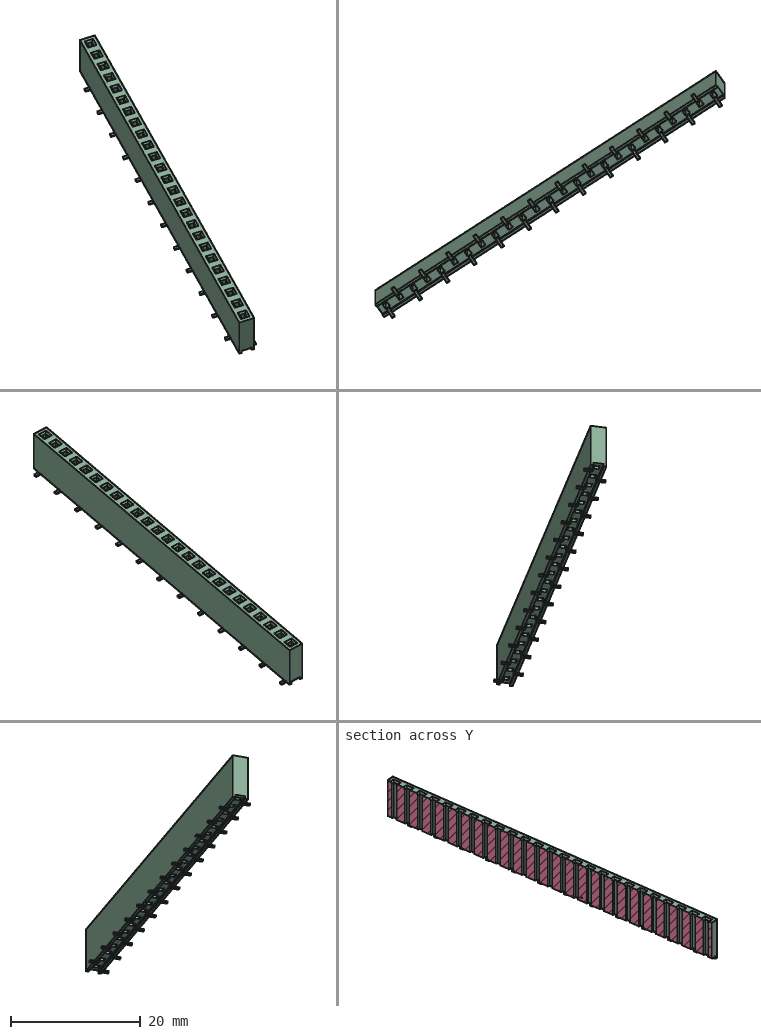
import cadquery as cq

TOTAL_WIDTH = 4.0
TOTAL_HEIGHT = 7.5

PITCH = 2.54
POSITIONS = 25
HOUSING_LENGTH = PITCH * POSITIONS
HOUSING_WIDTH = 2.5
STANDOFF = 0.3
HOUSING_HEIGHT = TOTAL_HEIGHT - STANDOFF

CHANNEL_WIDTH = 1.6
CHANNEL_DEPTH = 0.45
CHANNEL_CEILING = STANDOFF + CHANNEL_DEPTH

SOCKET_SIZE = 0.8
MOUTH_SIZE = 1.4
MOUTH_DEPTH = 0.3

TAIL_WIDTH = 0.5
TAIL_THICKNESS = 0.2
OUTER_BEND_RADIUS = 0.4
INNER_BEND_RADIUS = OUTER_BEND_RADIUS - TAIL_THICKNESS
TAIL_INNER_Y = 0.5
TAIL_OUTER_Y = TOTAL_WIDTH / 2

ON_BASE = (True, True, False)


def position_x(index):
    """X of a contact position, counted from the -X end."""
    return (index - (POSITIONS - 1) / 2) * PITCH


def make_housing():
    underside = cq.Workplane("XY", origin=(0, 0, STANDOFF))
    block = underside.box(HOUSING_LENGTH, HOUSING_WIDTH, HOUSING_HEIGHT, centered=ON_BASE)
    channel = underside.box(HOUSING_LENGTH, CHANNEL_WIDTH, CHANNEL_DEPTH, centered=ON_BASE)
    return block.cut(channel)


def make_socket():
    """Cutter for one socket on the Z axis."""
    bore = cq.Workplane("XY").box(SOCKET_SIZE, SOCKET_SIZE, TOTAL_HEIGHT, centered=ON_BASE)
    mouth = (
        cq.Workplane("XY", origin=(0, 0, TOTAL_HEIGHT))
        .rect(MOUTH_SIZE, MOUTH_SIZE)
        .workplane(offset=-MOUTH_DEPTH)
        .rect(SOCKET_SIZE, SOCKET_SIZE)
        .loft()
    )
    return bore.union(mouth)


def make_tail():
    """Contact tail at X = 0 with its foot pointing to +Y."""
    leg_outer_y = TAIL_INNER_Y + TAIL_THICKNESS
    bend_end_y = TAIL_INNER_Y + OUTER_BEND_RADIUS
    return (
        cq.Workplane("YZ", origin=(-TAIL_WIDTH / 2, 0, 0))
        .moveTo(TAIL_INNER_Y, CHANNEL_CEILING)
        .lineTo(TAIL_INNER_Y, OUTER_BEND_RADIUS)
        .radiusArc((bend_end_y, 0), -OUTER_BEND_RADIUS)
        .lineTo(TAIL_OUTER_Y, 0)
        .lineTo(TAIL_OUTER_Y, TAIL_THICKNESS)
        .lineTo(bend_end_y, TAIL_THICKNESS)
        .radiusArc((leg_outer_y, OUTER_BEND_RADIUS), INNER_BEND_RADIUS)
        .lineTo(leg_outer_y, CHANNEL_CEILING)
        .close()
        .extrude(TAIL_WIDTH)
    )


def make_header():
    header = make_housing()
    socket = make_socket()
    tail = make_tail()
    turned_tail = tail.rotate((0, 0, 0), (0, 0, 1), 180)
    for index in range(POSITIONS):
        place = (position_x(index), 0, 0)
        header = header.cut(socket.translate(place))
        side_tail = tail if index % 2 == 0 else turned_tail
        header = header.union(side_tail.translate(place))
    return header


result = make_header()